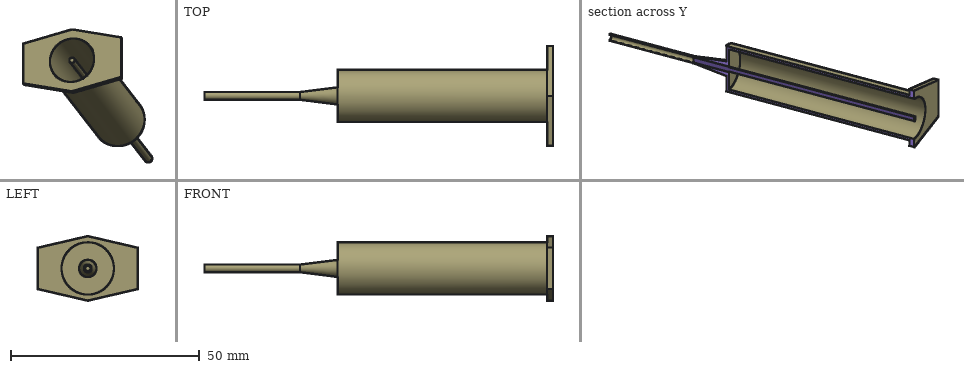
import cadquery as cq

needle_diameter = 2.1
needle_bore = 1.46
hub_base_diameter = 4.6
barrel_diameter = 13.88
barrel_bore = 12.0

flange_width = 26.5
flange_height = 17.15
flange_side_height = 11.0
flange_thickness = 1.6

plunger_diameter = needle_bore
plunger_tip_fillet = 0.5

overall_length = 92.4
needle_length = 25.3
hub_length = 10.0
hub_start = needle_length
barrel_start = hub_start + hub_length
flange_start = overall_length - flange_thickness

barrel_wall = (barrel_diameter - barrel_bore) / 2
bore_start = barrel_start + barrel_wall


def cylinder_x(diameter, start, end):
    """Cylinder on the X axis between two stations."""
    return cq.Workplane("YZ", origin=(start, 0, 0)).circle(diameter / 2).extrude(end - start)


def make_hub():
    """Cone that widens from the needle diameter to the front face of the barrel."""
    return (
        cq.Workplane("XY")
        .moveTo(hub_start, 0)
        .lineTo(hub_start, needle_diameter / 2)
        .lineTo(barrel_start, hub_base_diameter / 2)
        .lineTo(barrel_start, 0)
        .close()
        .revolve(360, (0, 0, 0), (1, 0, 0))
    )


def make_flange():
    """Hexagonal finger plate at the rear end of the barrel."""
    half_width = flange_width / 2
    half_side = flange_side_height / 2
    half_height = flange_height / 2
    outline = [
        (half_width, -half_side),
        (half_width, half_side),
        (0, half_height),
        (-half_width, half_side),
        (-half_width, -half_side),
        (0, -half_height),
    ]
    plate = cq.Workplane("YZ", origin=(flange_start, 0, 0)).polyline(outline).close()
    return plate.extrude(flange_thickness)


def make_barrel():
    """Hub, tube and flange in one piece, with a bore open to the rear and a passage through the hub."""
    tube = cylinder_x(barrel_diameter, barrel_start, flange_start)
    bore = cylinder_x(barrel_bore, bore_start, overall_length)
    hub_passage = cylinder_x(plunger_diameter, hub_start, bore_start)
    return tube.union(make_hub()).union(make_flange()).cut(bore).cut(hub_passage)


def make_needle():
    """Thin tube that butts against the small end of the hub."""
    return cylinder_x(needle_diameter, 0, hub_start).cut(cylinder_x(needle_bore, 0, hub_start))


def make_plunger():
    """Straight rod from the needle joint to the rear of the barrel, with a rounded front tip."""
    rod = cylinder_x(plunger_diameter, hub_start, overall_length)
    return rod.faces("<X").edges().fillet(plunger_tip_fillet)


barrel = make_barrel()
needle = make_needle()
plunger = make_plunger()
result = cq.Compound.makeCompound([barrel.val(), needle.val(), plunger.val()])